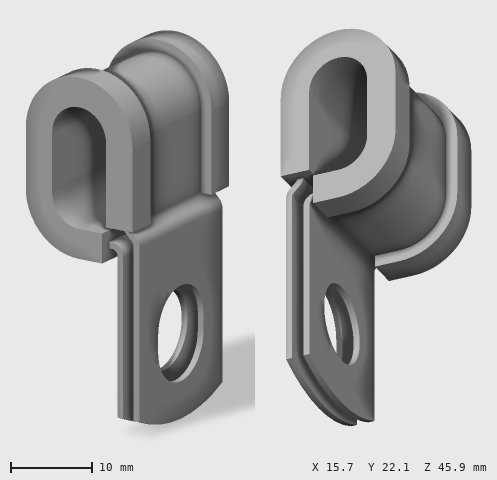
import cadquery as cq
import math

total_height = 45.9
total_width = 22.1
loop_span = 15.65

outer_radius = loop_span / 2
inner_radius = 3.95
band_radius = 6.3
straight_length = 7.9
flange_width = 4.1
long_end_z = -10.92
short_end_x = 3.4

strap_thickness = 0.83
strap_width = 18.95
bend_inner_radius = 0.8
short_tab_right_x = 5.45
jog_start_rise = 0.2
hole_diameter = 10.35
hole_z = -27.0
slot_travel = 1.05
tip_sag = 2.15

lower_arc_z = -straight_length
tab_bottom_z = outer_radius - total_height


def extrude_across(profile, width):
    """Extrude an XZ profile symmetrically about Y = 0."""
    return profile.extrude(width / 2, both=True)


def loop(radius, width):
    """Open loop between the inner surface and the given outer radius."""
    diagonal = math.sqrt(0.5)

    profile = (
        cq.Workplane("XZ")
        .moveTo(radius, long_end_z)
        .lineTo(radius, 0)
        .threePointArc((0, radius), (-radius, 0))
        .lineTo(-radius, lower_arc_z)
        .threePointArc((-radius * diagonal, lower_arc_z - radius * diagonal), (0, lower_arc_z - radius))
        .lineTo(short_end_x, lower_arc_z - radius)
        .lineTo(short_end_x, lower_arc_z - inner_radius)
        .lineTo(0, lower_arc_z - inner_radius)
        .threePointArc(
            (-inner_radius * diagonal, lower_arc_z - inner_radius * diagonal),
            (-inner_radius, lower_arc_z),
        )
        .lineTo(-inner_radius, 0)
        .threePointArc((0, inner_radius), (inner_radius, 0))
        .lineTo(inner_radius, long_end_z)
        .close()
    )
    return extrude_across(profile, width)


def short_tab():
    """Strap leaving the bottom side of the loop and bending downward."""
    bend_outer_radius = bend_inner_radius + strap_thickness
    left_x = short_tab_right_x - strap_thickness
    bend_x = short_tab_right_x - bend_outer_radius
    strap_bottom_z = lower_arc_z - band_radius
    strap_top_z = strap_bottom_z + strap_thickness
    bend_z = strap_top_z - bend_outer_radius

    profile = (
        cq.Workplane("XZ")
        .moveTo(short_end_x, strap_top_z)
        .lineTo(bend_x, strap_top_z)
        .radiusArc((short_tab_right_x, bend_z), bend_outer_radius)
        .lineTo(short_tab_right_x, tab_bottom_z)
        .lineTo(left_x, tab_bottom_z)
        .lineTo(left_x, bend_z)
        .radiusArc((bend_x, strap_bottom_z), -bend_inner_radius)
        .lineTo(short_end_x, strap_bottom_z)
        .close()
    )
    return extrude_across(profile, strap_width)


def long_tab():
    """Strap leaving the right side of the loop with a 45 degree outward jog."""
    right_x = outer_radius
    left_x = right_x - strap_thickness
    start_left_x = band_radius - strap_thickness
    bend_outer_radius = bend_inner_radius + strap_thickness

    upper_center_x = band_radius + bend_inner_radius
    lower_center_x = left_x - bend_inner_radius
    upper_center_z = long_end_z + jog_start_rise
    diagonal = math.sqrt(0.5)
    inner_step = bend_inner_radius * diagonal
    outer_step = bend_outer_radius * diagonal
    center_run = (lower_center_x + outer_step) - (upper_center_x - inner_step)
    lower_center_z = upper_center_z - inner_step - center_run - outer_step

    profile = (
        cq.Workplane("XZ")
        .moveTo(band_radius, upper_center_z)
        .radiusArc((upper_center_x - inner_step, upper_center_z - inner_step), -bend_inner_radius)
        .lineTo(lower_center_x + outer_step, lower_center_z + outer_step)
        .radiusArc((right_x, lower_center_z), bend_outer_radius)
        .lineTo(right_x, tab_bottom_z)
        .lineTo(left_x, tab_bottom_z)
        .lineTo(left_x, lower_center_z)
        .radiusArc((lower_center_x + inner_step, lower_center_z + inner_step), -bend_inner_radius)
        .lineTo(upper_center_x - outer_step, upper_center_z - outer_step)
        .radiusArc((start_left_x, upper_center_z), bend_outer_radius)
        .close()
    )
    return extrude_across(profile, strap_width)


def tab_outline():
    """Block along X with the curved tip that bounds both tabs."""
    half_width = strap_width / 2
    tip_corner_z = tab_bottom_z + tip_sag
    profile = (
        cq.Workplane("YZ")
        .moveTo(-half_width, 0)
        .lineTo(-half_width, tip_corner_z)
        .threePointArc((0, tab_bottom_z), (half_width, tip_corner_z))
        .lineTo(half_width, 0)
        .close()
    )
    return profile.extrude(outer_radius)


def bolt_hole():
    """Round bolt hole, deep enough for the short tab."""
    return cq.Workplane("YZ").center(0, hole_z).circle(hole_diameter / 2).extrude(short_tab_right_x)


def bolt_slot():
    """Vertical adjustment slot, deep enough for the long tab."""
    slot_length = hole_diameter + 2 * slot_travel
    return cq.Workplane("YZ").center(0, hole_z).slot2D(slot_length, hole_diameter, 90).extrude(outer_radius)


band_width = total_width - 2 * flange_width
cushion = loop(outer_radius, total_width).cut(loop(outer_radius, band_width))
body = cushion.union(loop(band_radius, band_width))

drilled_tab = short_tab().cut(bolt_hole())
slotted_tab = long_tab().cut(bolt_slot())
tabs = drilled_tab.union(slotted_tab).intersect(tab_outline())
result = body.union(tabs)